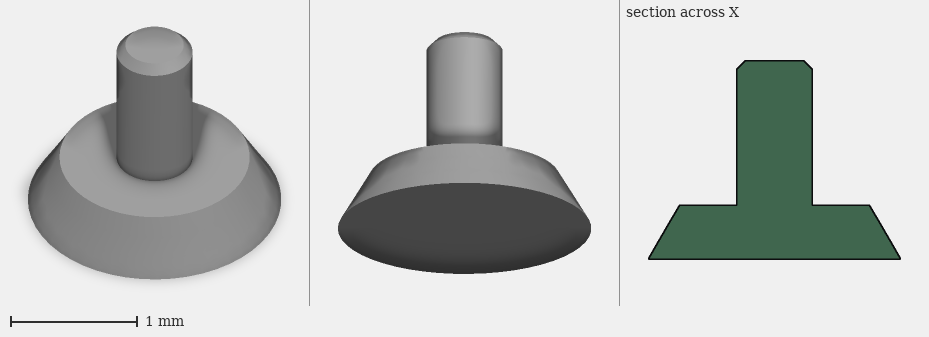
import cadquery as cq

base_diameter = 2.0
head_top_diameter = 1.5
head_height = 0.43

pin_diameter = 0.6
overall_height = 1.57
tip_chamfer = 0.07

base_radius = base_diameter / 2
head_top_radius = head_top_diameter / 2
pin_radius = pin_diameter / 2


def head_and_pin():
    """Revolve the half profile of the conical head and chamfered pin around Z."""
    half_profile = (
        cq.Workplane("XZ")
        .moveTo(0, 0)
        .lineTo(base_radius, 0)
        .lineTo(head_top_radius, head_height)
        .lineTo(pin_radius, head_height)
        .lineTo(pin_radius, overall_height - tip_chamfer)
        .lineTo(pin_radius - tip_chamfer, overall_height)
        .lineTo(0, overall_height)
        .close()
    )
    return half_profile.revolve(360, (0, 0, 0), (0, 1, 0))


result = head_and_pin()